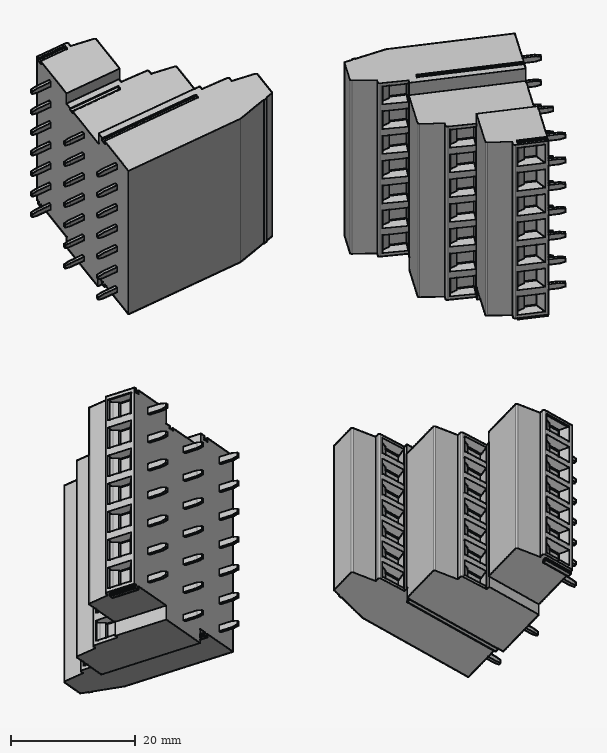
import cadquery as cq


BODY_WIDTH = 28.1
BODY_HEIGHT = 28.2
POLES = 7
POLE_PITCH = 5.08
ROW_LENGTH = POLES * POLE_PITCH
STAGGER = POLE_PITCH / 2

ROWS = 3
MIDDLE_ROW = 1
LAST_ROW = ROWS - 1
ROW_STEP_X = 9.85
ROW_STEP_Y = 9.1

FOOT_SETBACK = 0.8
FOOT_DROP = 0.1
FACE_LEAN = 0.15
LEDGE_DROP = 4.25
LEDGE_DEPTH = 0.9
CROWN_SETBACK = 1.6
EDGE_RADIUS = 0.3
TAIL_CLEARANCE = 0.2

BACK_CROWN_X = 26.1
BACK_SLOPE_FOOT_Y = 21.0
RIDGE_TOP_Y = 26.9
RIDGE_LENGTH = 0.6
RIDGE_HEIGHT = 0.12

POCKET_HEIGHT_Z = 3.75
POCKET_TOP_DROP = 0.6
POCKET_SPAN_Y = 4.55
POCKET_TAPER_LOW = 1.1
POCKET_TAPER_HIGH = 0.15
POCKET_TAPER_Z = 0.45
POCKET_DEPTH = 1.3
CLAMP_SPAN_Y = 2.05
CLAMP_DEPTH = 0.25
GUIDE_START_DEPTH = 0.25
GUIDE_END_DEPTH = 1.1
GUIDE_CURVE_RUN = 0.5
GUIDE_CURVE_DROP = 0.24

FIRST_RAIL_OFFSET = 0.78
FIRST_RAIL_END_DROP = 0.75
MIDDLE_GROOVE_END_Y = 9.0
LAST_RAIL_END_Y = 17.55
RAISED_RAIL_OFFSET = 0.7
RAIL_DEPTH = 0.65
RAIL_NECK_HALF = 0.3
RAIL_FLANGE_HALF = 0.5
RAIL_TIP_HALF = 0.35
RAIL_NECK_DEPTH = 0.3
RAIL_FLANGE_DEPTH = 0.45
GROOVE_MOUTH_HALF = 0.35
GROOVE_FLOOR_HALF = 0.5
MIDDLE_GROOVE_DEPTH = 0.4

PIN_FIRST_X = 4.03
PIN_STEP_X = 10.16
PIN_LENGTH = 3.5
PIN_THICKNESS = 0.5
PIN_WIDTH = 1.1
MIDDLE_PIN_WIDTH = 1.0
MIDDLE_PIN_TIP_THICKNESS = 0.4
PIN_TIP_WIDTH = 0.65
PIN_TIP_LENGTH = 0.95
PIN_ROOT = 1.0


def is_middle(row):
    return row == MIDDLE_ROW


def row_bottom_z(row):
    return 0 if is_middle(row) else STAGGER


def face_x(row):
    return row * ROW_STEP_X


def body_start_x(row):
    return 0 if row == 0 else face_x(row) - FOOT_SETBACK


def crown_y(row):
    return BODY_HEIGHT - (LAST_ROW - row) * ROW_STEP_Y


def ledge_y(row):
    return crown_y(row) - LEDGE_DROP


def prism(points, bottom_z, length):
    return cq.Workplane("XY", origin=(0, 0, bottom_z)).polyline(points).close().extrude(length)


def box_between(low, high):
    size = [b - a for a, b in zip(low, high)]
    return cq.Workplane("XY").box(*size, centered=False).translate(low)


def row_body(row):
    """Stepped cross-section of one row, extruded along the row."""
    start = body_start_x(row)
    face = face_x(row)
    ledge = ledge_y(row)
    crown = crown_y(row)
    points = [(start, 0)]
    if row > 0:
        foot = crown_y(row - 1) - FOOT_DROP
        points += [(start, foot), (face - FACE_LEAN, foot)]
    points += [
        (face, ledge),
        (face + LEDGE_DEPTH, ledge),
        (face + CROWN_SETBACK, crown),
    ]
    if row == LAST_ROW:
        points += [(BACK_CROWN_X, crown), (BODY_WIDTH, BACK_SLOPE_FOOT_Y), (BODY_WIDTH, 0)]
    else:
        back = body_start_x(row + 1)
        points += [(back, crown), (back, 0)]

    body = prism(points, row_bottom_z(row), ROW_LENGTH)
    middle_z = row_bottom_z(row) + ROW_LENGTH / 2
    for x, y in ((face, ledge), (face + CROWN_SETBACK, crown)):
        edge = cq.selectors.NearestToPointSelector((x, y, middle_z))
        body = body.edges("|Z").edges(edge).fillet(EDGE_RADIUS)
    return body


def tail_relief():
    """Gap behind the part of the middle row that extends below its neighbours."""
    back = body_start_x(LAST_ROW)
    return box_between((back - TAIL_CLEARANCE, 0, 0), (back, BODY_HEIGHT, STAGGER))


def back_ridge():
    """Low ridge along the sloped back of the last row."""
    slope = (BODY_WIDTH - BACK_CROWN_X) / (BODY_HEIGHT - BACK_SLOPE_FOOT_Y)
    bottom_y = RIDGE_TOP_Y - RIDGE_LENGTH
    top_x = BACK_CROWN_X + (BODY_HEIGHT - RIDGE_TOP_Y) * slope
    bottom_x = BACK_CROWN_X + (BODY_HEIGHT - bottom_y) * slope
    points = [
        (BACK_CROWN_X, bottom_y),
        (bottom_x + RIDGE_HEIGHT, bottom_y),
        (top_x + RIDGE_HEIGHT, RIDGE_TOP_Y),
        (BACK_CROWN_X, RIDGE_TOP_Y),
    ]
    return prism(points, row_bottom_z(LAST_ROW), ROW_LENGTH)


def wire_pocket(row, center_z):
    """Tapered wire mouth with a curved upper guide and a clamp recess behind it."""
    mouth_x = face_x(row) if row == 0 else face_x(row) - FACE_LEAN
    back_x = mouth_x + POCKET_DEPTH
    mouth_high = ledge_y(row) - POCKET_TOP_DROP
    mouth_low = mouth_high - POCKET_SPAN_Y
    if row > 0:
        mouth_low = max(mouth_low, crown_y(row - 1))
    back_high = mouth_high - POCKET_TAPER_HIGH
    guide_low = mouth_high - POCKET_SPAN_Y + POCKET_TAPER_LOW
    back_low = guide_low if row == 0 else mouth_low
    back_height_z = POCKET_HEIGHT_Z - 2 * POCKET_TAPER_Z
    clamp_high = guide_low + CLAMP_SPAN_Y

    funnel = (
        cq.Workplane("YZ", origin=(mouth_x, 0, center_z))
        .center((mouth_low + mouth_high) / 2, 0)
        .rect(mouth_high - mouth_low, POCKET_HEIGHT_Z)
        .workplane(offset=POCKET_DEPTH)
        .center((back_low + back_high - mouth_low - mouth_high) / 2, 0)
        .rect(back_high - back_low, back_height_z)
        .loft(ruled=True)
    )
    guide_x = mouth_x + GUIDE_START_DEPTH
    guide = (
        cq.Workplane("XY", origin=(0, 0, center_z))
        .moveTo(mouth_x, mouth_low)
        .lineTo(back_x, mouth_low)
        .lineTo(back_x, clamp_high)
        .lineTo(mouth_x + GUIDE_END_DEPTH, clamp_high)
        .lineTo(guide_x + GUIDE_CURVE_RUN, back_high - GUIDE_CURVE_DROP)
        .tangentArcPoint((guide_x, back_high), relative=False)
        .lineTo(mouth_x, mouth_high)
        .close()
        .extrude(POCKET_HEIGHT_Z / 2, both=True)
    )
    clamp = box_between(
        (back_x, back_low, center_z - back_height_z / 2),
        (back_x + CLAMP_DEPTH, clamp_high, center_z + back_height_z / 2),
    )
    return funnel.intersect(guide).union(clamp)


def rail_x(row):
    offset = RAISED_RAIL_OFFSET if row > 0 else FIRST_RAIL_OFFSET
    return face_x(row) + offset


def rail_end_y(row):
    return (ledge_y(0) - FIRST_RAIL_END_DROP, MIDDLE_GROOVE_END_Y, LAST_RAIL_END_Y)[row]


def end_profile(row, z, half_profile):
    """Prism along Y, symmetric about the rail, from (half width, depth) pairs below z."""
    x = rail_x(row)
    right = [(x + half, z - depth) for half, depth in half_profile]
    left = [(x - half, z - depth) for half, depth in reversed(half_profile)]
    return cq.Workplane("XZ").polyline(right + left).close().extrude(-rail_end_y(row))


def rail(row):
    """Mushroom-shaped rail below the lower end of an outer row."""
    profile = [
        (RAIL_NECK_HALF, 0),
        (RAIL_NECK_HALF, RAIL_NECK_DEPTH / 2),
        (RAIL_FLANGE_HALF, RAIL_NECK_DEPTH),
        (RAIL_FLANGE_HALF, RAIL_FLANGE_DEPTH),
        (RAIL_TIP_HALF, RAIL_DEPTH),
    ]
    return end_profile(row, row_bottom_z(row), profile)


def groove(row):
    """Undercut groove in the upper end of a row."""
    depth = MIDDLE_GROOVE_DEPTH if is_middle(row) else RAIL_DEPTH
    profile = [
        (GROOVE_MOUTH_HALF, 0),
        (GROOVE_MOUTH_HALF, depth / 2),
        (GROOVE_FLOOR_HALF, depth / 2),
        (GROOVE_FLOOR_HALF, depth),
    ]
    return end_profile(row, row_bottom_z(row) + ROW_LENGTH, profile)


def solder_pin(row, center_z):
    """Flat pin narrowed at its tip; the middle pins are narrower and also thin out."""
    width = MIDDLE_PIN_WIDTH if is_middle(row) else PIN_WIDTH
    tip_thickness = MIDDLE_PIN_TIP_THICKNESS if is_middle(row) else PIN_THICKNESS
    x = PIN_FIRST_X + row * PIN_STEP_X
    shank_length = PIN_LENGTH - PIN_TIP_LENGTH
    shank = box_between(
        (x - PIN_THICKNESS / 2, -shank_length, center_z - width / 2),
        (x + PIN_THICKNESS / 2, PIN_ROOT, center_z + width / 2),
    )
    tip = (
        cq.Workplane("XZ", origin=(x, -shank_length, center_z))
        .rect(PIN_THICKNESS, width)
        .workplane(offset=PIN_TIP_LENGTH)
        .rect(tip_thickness, PIN_TIP_WIDTH)
        .loft(ruled=True)
    )
    return shank.union(tip)


def pole_centers(row):
    first = row_bottom_z(row) + POLE_PITCH / 2
    return [first + pole * POLE_PITCH for pole in range(POLES)]


result = row_body(0)
for row in range(1, ROWS):
    result = result.union(row_body(row))
result = result.cut(tail_relief()).union(back_ridge())

for row in range(ROWS):
    result = result.cut(groove(row))
    if not is_middle(row):
        result = result.union(rail(row))
    for center_z in pole_centers(row):
        result = result.cut(wire_pocket(row, center_z))
        result = result.union(solder_pin(row, center_z))